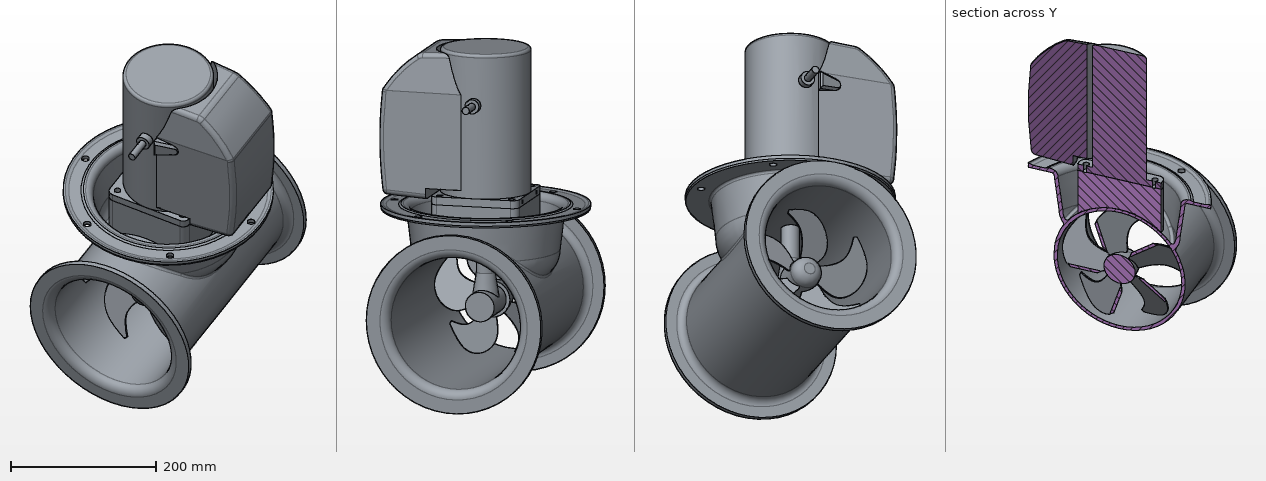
import cadquery as cq
import math


TUNNEL_LENGTH = 335.0
TUNNEL_RADIUS = 98.5
BORE_RADIUS = 92.5
END_FLANGE_RADIUS = 250.0 / 2
END_FLANGE_THICKNESS = 7.5
FLARE_RADIUS = 12.5
END_FLANGE_ROOT = 10.5

RIM_TOP = 140.0
RIM_THICKNESS = 7.5
RIM_RADIUS = 145.0
RIM_CHAMFER_WIDTH = 1.0
RIM_CHAMFER_HEIGHT = 2.5
RIM_LAND_WIDTH = 3.0
RIM_LIP_RADIUS = 114.0
RIM_SEAT_OUTER = 137.3
RIM_SEAT_INNER = 120.5
RIM_SEAT_DEPTH = 1.5
CUP_TOP_RADIUS = 109.0
CUP_TOP = 129.5
BOWL_RADIUS = 103.0
BOWL_TOP = 76.5
BOWL_CURVE = 43.5
CUP_WALL = 6.0
CUP_JOINT_FILLET = 3.5
RIM_HOLE_DIAMETER = 10.0
RIM_HOLE_CIRCLE = 130.5
RIM_HOLE_COUNT = 6

PLATE_SIZE = 125.0
PLATE_CORNER = 9.5
PLATE_BOTTOM = 146.5
PLATE_TOP = 157.5
PLATE_HOLE_DIAMETER = 8.5
PLATE_HOLE_OFFSET = 51.5
SIDE_HOLE_DIAMETER = 5.0
SIDE_HOLE_OFFSET = 36.5
SIDE_HOLE_DEPTH = 9.5
MOTOR_RADIUS = PLATE_SIZE / 2
MOTOR_TOP = 485 - END_FLANGE_RADIUS
MOTOR_EDGE_FILLET = 4.5
TERMINAL_HEIGHT = 288.5
TERMINAL_BOSS_DIAMETER = 20.0
TERMINAL_BOSS_END = 72.5
TERMINAL_ROD_DIAMETER = 10.0
TERMINAL_ROD_END = 104.0

COVER_CLEARANCE_RADIUS = 68.0
COVER_START = 0.0
COVER_END = 145.5
COVER_START_HALF_WIDTH = 66.5
COVER_END_HALF_WIDTH = 59.0
COVER_SHOULDER = 303.0
COVER_LEAN = 8.5
COVER_BOTTOM = 153.5
COVER_BOTTOM_CORNER = (131.5, 156.5)
COVER_END_CROWN = (137.0, 242.5)
COVER_SHOULDER_X = 133.0
COVER_SLOPE_CROWN = (108.5, 333.5)
COVER_TOP_CORNER = (80.0, 356.5)
COVER_TOP = 360.0
COVER_TOP_FILLET = 17.0
COVER_STEP_HEIGHT = 169.0
COVER_STEP_X = 69.0
COVER_FILLET = 7.5

HOOD_START = 18.0
HOOD_END = 53.5
HOOD_SIDE_END = 46.0
HOOD_START_Y = 77.0
HOOD_END_Y = 64.0
HOOD_ROOT_Y = 58.0
HOOD_START_HALF_HEIGHT = 13.0
HOOD_TIP_HALF_HEIGHT = 8.5
HOOD_CHAMFER = 3.5

LEG_DIAMETER = 26.0
LEG_ROOT_RADIUS = 20.0
LEG_ROOT_TOP = 43.5
GEAR_CASE_DIAMETER = 41.0
HUB_RADIUS = 22.0
HUB_BACK_RADIUS = 25.5
HUB_FRONT = -80.0
HUB_DOME_END = -63.0
HUB_BACK = -31.5
HUB_FACE_DIAMETER = 16.0
HUB_DOME_MIDDLE = (17.5, -75.0)
BLADE_COUNT = 5
BLADE_THICKNESS = 2.5
BLADE_PITCH = 27.0
BLADE_CENTRE_Y = -54.0
BLADE_HOLLOW_EDGE = [(22.0, 14.0), (43.5, 20.0), (56.5, 29.0), (61.5, 41.0), (63.5, 55.0)]
BLADE_ROUND_EDGE = [(68.5, 55.5), (83.5, 35.0), (89.5, 16.0), (86.5, 0.5), (72.5, -15.5),
                    (53.5, -21.5), (37.5, -17.0), (24.0, -9.0)]


def cylinder_y(radius, start, end, height=0.0):
    """Cylinder along Y from start to end with its axis at the given height."""
    plane = cq.Plane(origin=(0, start, height), xDir=(1, 0, 0), normal=(0, 1, 0))
    return cq.Workplane(plane).circle(radius).extrude(end - start)


def cylinder_z(radius, bottom, top):
    return cq.Workplane("XY").workplane(offset=bottom).circle(radius).extrude(top - bottom)


def tube_half():
    """Half of the flanged tube, from mid-length to the +Y end, without its bore."""
    end = TUNNEL_LENGTH / 2
    flange_back = end - END_FLANGE_THICKNESS
    diagonal = END_FLANGE_ROOT * (1 - math.sqrt(0.5))
    return (
        cq.Workplane("XY")
        .lineTo(TUNNEL_RADIUS, 0)
        .lineTo(TUNNEL_RADIUS, flange_back - END_FLANGE_ROOT)
        .threePointArc((TUNNEL_RADIUS + diagonal, flange_back - diagonal),
                       (TUNNEL_RADIUS + END_FLANGE_ROOT, flange_back))
        .lineTo(END_FLANGE_RADIUS, flange_back)
        .lineTo(END_FLANGE_RADIUS, end)
        .lineTo(0, end)
        .close()
        .revolve(360, (0, 0, 0), (0, 1, 0))
    )


def bore_half():
    """Half of the bore with its rounded bell-mouth at the +Y end."""
    end = TUNNEL_LENGTH / 2
    diagonal = FLARE_RADIUS * (1 - math.sqrt(0.5))
    return (
        cq.Workplane("XY")
        .lineTo(BORE_RADIUS, 0)
        .lineTo(BORE_RADIUS, end - FLARE_RADIUS)
        .threePointArc((BORE_RADIUS + diagonal, end - diagonal), (BORE_RADIUS + FLARE_RADIUS, end))
        .lineTo(0, end)
        .close()
        .revolve(360, (0, 0, 0), (0, 1, 0))
    )


def both_ends(half):
    return half.union(half.rotate((0, 0, 0), (0, 0, 1), 180))


def cup():
    """Tapered cup with a rounded bowl bottom and a wide rim, revolved about Z."""
    rim_bottom = RIM_TOP - RIM_THICKNESS
    seat = RIM_TOP - RIM_SEAT_DEPTH
    bowl_centre = BOWL_RADIUS - BOWL_CURVE
    bowl_bottom = BOWL_TOP - BOWL_CURVE
    inner_curve = BOWL_CURVE - CUP_WALL
    diagonal = math.sqrt(0.5)
    inner_top_radius = CUP_TOP_RADIUS - CUP_WALL
    root = rim_bottom - CUP_TOP
    lip_rise = RIM_TOP - CUP_TOP
    lip_run = RIM_LIP_RADIUS - inner_top_radius
    return (
        cq.Workplane("XZ")
        .moveTo(bowl_centre, bowl_bottom)
        .threePointArc((bowl_centre + BOWL_CURVE * diagonal, BOWL_TOP - BOWL_CURVE * diagonal),
                       (BOWL_RADIUS, BOWL_TOP))
        .lineTo(CUP_TOP_RADIUS, CUP_TOP)
        .threePointArc((CUP_TOP_RADIUS + root * (1 - diagonal), CUP_TOP + root * diagonal),
                       (CUP_TOP_RADIUS + root, rim_bottom))
        .lineTo(RIM_RADIUS - RIM_CHAMFER_WIDTH, rim_bottom)
        .lineTo(RIM_RADIUS, rim_bottom + RIM_CHAMFER_HEIGHT)
        .lineTo(RIM_RADIUS, RIM_TOP)
        .lineTo(RIM_RADIUS - RIM_LAND_WIDTH, RIM_TOP)
        .lineTo(RIM_SEAT_OUTER, seat)
        .lineTo(RIM_SEAT_INNER, seat)
        .lineTo(RIM_LIP_RADIUS + RIM_LAND_WIDTH, RIM_TOP)
        .lineTo(RIM_LIP_RADIUS, RIM_TOP)
        .threePointArc((inner_top_radius + lip_run * (1 - diagonal), CUP_TOP + lip_rise * diagonal),
                       (inner_top_radius, CUP_TOP))
        .lineTo(BOWL_RADIUS - CUP_WALL, BOWL_TOP)
        .threePointArc((bowl_centre + inner_curve * diagonal, BOWL_TOP - inner_curve * diagonal),
                       (bowl_centre, bowl_bottom + CUP_WALL))
        .close()
        .revolve(360, (0, 0, 0), (0, 1, 0))
    )


def make_tunnel():
    """Flanged tunnel and housing cup in one piece."""
    rim_holes = (
        cq.Workplane("XY")
        .workplane(offset=RIM_TOP - RIM_THICKNESS)
        .polarArray(RIM_HOLE_CIRCLE, 0, 360, RIM_HOLE_COUNT)
        .circle(RIM_HOLE_DIAMETER / 2)
        .extrude(RIM_THICKNESS)
    )
    joint_zone = cq.selectors.BoxSelector(
        (-RIM_RADIUS, -RIM_RADIUS, 0), (RIM_RADIUS, RIM_RADIUS, TUNNEL_RADIUS)
    )
    return (
        both_ends(tube_half())
        .union(cup())
        .edges(joint_zone)
        .edges("not (%CIRCLE or %LINE)")
        .fillet(CUP_JOINT_FILLET)
        .cut(both_ends(bore_half()))
        .cut(rim_holes)
        .cut(cylinder_z(LEG_DIAMETER / 2, 0, RIM_TOP))
    )


def square_block(bottom, top):
    """Square block with rounded corners, shared by the base plate and its mount."""
    return (
        cq.Workplane("XY")
        .workplane(offset=bottom)
        .rect(PLATE_SIZE, PLATE_SIZE)
        .extrude(top - bottom)
        .edges("|Z")
        .fillet(PLATE_CORNER)
    )


def make_motor():
    """Motor can, base plate and the two cable terminals."""
    spacing = 2 * PLATE_HOLE_OFFSET
    plate_holes = (
        cq.Workplane("XY")
        .workplane(offset=PLATE_BOTTOM)
        .rect(spacing, spacing, forConstruction=True)
        .vertices()
        .circle(PLATE_HOLE_DIAMETER / 2)
        .extrude(PLATE_TOP - PLATE_BOTTOM)
    )
    side_holes = (
        cq.Workplane("YZ")
        .workplane(offset=-PLATE_SIZE / 2)
        .pushPoints([(side * SIDE_HOLE_OFFSET, (PLATE_BOTTOM + PLATE_TOP) / 2) for side in (-1, 1)])
        .circle(SIDE_HOLE_DIAMETER / 2)
        .extrude(SIDE_HOLE_DEPTH)
    )
    can = cylinder_z(MOTOR_RADIUS, PLATE_TOP, MOTOR_TOP)
    can = can.faces(">Z").edges().fillet(MOTOR_EDGE_FILLET)
    bosses = cylinder_y(TERMINAL_BOSS_DIAMETER / 2, -TERMINAL_BOSS_END, TERMINAL_BOSS_END, TERMINAL_HEIGHT)
    rods = cylinder_y(TERMINAL_ROD_DIAMETER / 2, -TERMINAL_ROD_END, TERMINAL_ROD_END, TERMINAL_HEIGHT)
    plate = square_block(PLATE_BOTTOM, PLATE_TOP).cut(plate_holes).cut(side_holes)
    return plate.union(can).union(bosses).union(rods)


def cover_plan(height):
    """Plan outline of the cover, narrowing away from the motor."""
    return (
        cq.Workplane("XY")
        .workplane(offset=height)
        .polyline([
            (COVER_START, -COVER_START_HALF_WIDTH),
            (COVER_END, -COVER_END_HALF_WIDTH),
            (COVER_END, COVER_END_HALF_WIDTH),
            (COVER_START, COVER_START_HALF_WIDTH),
        ])
        .close()
    )


def cover_side_prism():
    """Side outline of the cover, extruded wider than the cover."""
    reach = 2 * COVER_START_HALF_WIDTH
    corner_x, corner_z = COVER_TOP_CORNER
    return (
        cq.Workplane("XZ")
        .moveTo(COVER_START, COVER_STEP_HEIGHT)
        .lineTo(COVER_STEP_X, COVER_STEP_HEIGHT)
        .lineTo(COVER_STEP_X, COVER_BOTTOM)
        .lineTo(*COVER_BOTTOM_CORNER)
        .threePointArc(COVER_END_CROWN, (COVER_SHOULDER_X, COVER_SHOULDER))
        .threePointArc(COVER_SLOPE_CROWN, COVER_TOP_CORNER)
        .lineTo(COVER_START, COVER_TOP)
        .close()
        .extrude(reach, both=True)
        .edges(cq.selectors.NearestToPointSelector((corner_x, 0, corner_z)))
        .fillet(COVER_TOP_FILLET)
    )


def terminal_hood():
    """Tapered hood with a rounded tip beside the -Y terminal."""
    side = (
        cq.Workplane("XZ")
        .moveTo(HOOD_START, TERMINAL_HEIGHT - HOOD_START_HALF_HEIGHT)
        .lineTo(HOOD_SIDE_END, TERMINAL_HEIGHT - HOOD_TIP_HALF_HEIGHT)
        .threePointArc((HOOD_END, TERMINAL_HEIGHT),
                       (HOOD_SIDE_END, TERMINAL_HEIGHT + HOOD_TIP_HALF_HEIGHT))
        .lineTo(HOOD_START, TERMINAL_HEIGHT + HOOD_START_HALF_HEIGHT)
        .close()
        .extrude(HOOD_START_Y)
    )
    plan = (
        cq.Workplane("XY")
        .workplane(offset=TERMINAL_HEIGHT - HOOD_START_HALF_HEIGHT)
        .polyline([
            (HOOD_START, -HOOD_ROOT_Y),
            (HOOD_START, -HOOD_START_Y),
            (HOOD_END, -HOOD_END_Y),
            (HOOD_END, -HOOD_ROOT_Y),
        ])
        .close()
        .extrude(2 * HOOD_START_HALF_HEIGHT)
    )
    return side.intersect(plan).faces("<Y").edges().chamfer(HOOD_CHAMFER)


def cover_rim():
    """Selects the outer edges of the cover, leaving the motor side and the shoulder lines sharp."""
    reach = 2 * COVER_START_HALF_WIDTH
    margin = 2.5
    end_rim = cq.selectors.BoxSelector(
        (COVER_STEP_X + margin, -reach, 0), (COVER_END, reach, MOTOR_TOP)
    )
    top_rim = cq.selectors.BoxSelector(
        (COVER_STEP_X / 3, -reach, COVER_SHOULDER + margin), (COVER_END, reach, MOTOR_TOP)
    )
    rounded_top_corner = cq.selectors.BoxSelector(
        (COVER_STEP_X, -margin, COVER_SHOULDER + margin), (COVER_SHOULDER_X - margin, margin, MOTOR_TOP)
    )
    return end_rim + top_rim - rounded_top_corner


def make_cover():
    """Rounded cover with leaning upper walls, hollowed to clear the motor."""
    lower = cover_plan(COVER_BOTTOM).extrude(COVER_SHOULDER - COVER_BOTTOM)
    upper = cover_plan(COVER_SHOULDER).extrude(MOTOR_TOP - COVER_SHOULDER, taper=COVER_LEAN)
    shell = lower.union(upper).intersect(cover_side_prism())
    shell = shell.edges(cover_rim()).fillet(COVER_FILLET)
    return shell.union(terminal_hood()).cut(cylinder_z(COVER_CLEARANCE_RADIUS, 0, MOTOR_TOP))


def blade():
    """Flat pitched blade whose axial outline sweeps to a hooked tip."""
    root_front, *hollow_edge = BLADE_HOLLOW_EDGE
    tip_end, *round_edge = BLADE_ROUND_EDGE
    outline = (
        cq.Workplane("XZ")
        .lineTo(*root_front)
        .spline(hollow_edge, includeCurrent=True)
        .lineTo(*tip_end)
        .spline(round_edge, includeCurrent=True)
        .close()
        .extrude(2 * abs(HUB_FRONT))
    )
    slab_size = 2 * TUNNEL_LENGTH
    slab = (
        cq.Workplane("XZ")
        .rect(slab_size, slab_size)
        .extrude(BLADE_THICKNESS / 2, both=True)
        .rotate((0, 0, 0), (1, 0, 0), BLADE_PITCH)
        .translate((0, BLADE_CENTRE_Y, 0))
    )
    return outline.intersect(slab)


def propeller():
    """Domed hub with the ring of blades."""
    face_radius = HUB_FACE_DIAMETER / 2
    hub = (
        cq.Workplane("XY")
        .moveTo(0, HUB_FRONT)
        .lineTo(face_radius, HUB_FRONT)
        .threePointArc(HUB_DOME_MIDDLE, (HUB_RADIUS, HUB_DOME_END))
        .lineTo(HUB_BACK_RADIUS, HUB_BACK)
        .lineTo(0, HUB_BACK)
        .close()
        .revolve(360, (0, 0, 0), (0, 1, 0))
    )
    for index in range(BLADE_COUNT):
        hub = hub.union(blade().rotate((0, 0, 0), (0, 1, 0), index * 360 / BLADE_COUNT))
    return hub


def make_lower_drive():
    """Mount block saddled on the tunnel, with the leg, gear case and propeller below it."""
    saddle = cylinder_y(TUNNEL_RADIUS, -PLATE_SIZE, PLATE_SIZE)
    mount = square_block(0, PLATE_BOTTOM).cut(saddle)
    leg = cylinder_z(LEG_DIAMETER / 2, 0, PLATE_BOTTOM)
    leg_root = cq.Workplane(cq.Solid.makeCone(LEG_ROOT_RADIUS, LEG_DIAMETER / 2, LEG_ROOT_TOP))
    gear_case = cylinder_y(GEAR_CASE_DIAMETER / 2, HUB_BACK, -HUB_BACK)
    return mount.union(leg).union(leg_root).union(gear_case).union(propeller())


tunnel = make_tunnel()
motor = make_motor()
cover = make_cover()
lower_drive = make_lower_drive()
result = cq.Compound.makeCompound([tunnel.val(), motor.val(), cover.val(), lower_drive.val()])